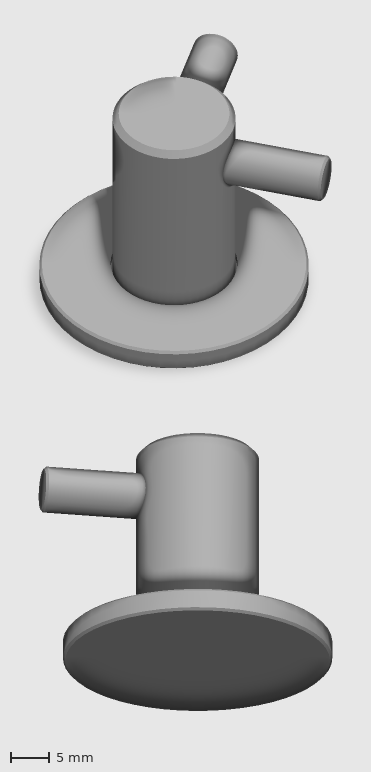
import cadquery as cq
import math

flange_diameter = 35.0
flange_thickness = 3.0
flange_chamfer = 0.3
recess_diameter = 16.5
recess_depth = 1.0

post_diameter = 16.0
post_top = 29.0
post_bottom = flange_thickness - recess_depth
post_chamfer = 0.8

pin_diameter = 6.0
pin_chamfer = 0.3
pin_height = 22.5
pin_inner_reach = 5.0
pin_outer_reach = 20.5
pin_angles = (45, 135)


def make_flange():
    """Disc with chamfered rims and a round recess, slightly wider than the post."""
    disc = cq.Workplane("XY").circle(flange_diameter / 2).extrude(flange_thickness)
    disc = disc.faces("<Z or >Z").edges().chamfer(flange_chamfer)
    recess = (
        cq.Workplane("XY")
        .workplane(offset=post_bottom)
        .circle(recess_diameter / 2)
        .extrude(recess_depth)
    )
    return disc.cut(recess)


def make_pin(angle):
    """Horizontal peg pointing away from the post axis, chamfered at its outer end."""
    angle_rad = math.radians(angle)
    direction = cq.Vector(math.cos(angle_rad), math.sin(angle_rad), 0)
    start = direction * pin_inner_reach + cq.Vector(0, 0, pin_height)
    axis_plane = cq.Plane(origin=start, normal=direction)
    pin = cq.Workplane(axis_plane).circle(pin_diameter / 2).extrude(pin_outer_reach - pin_inner_reach)
    return pin.faces(cq.selectors.DirectionMinMaxSelector(direction)).edges().chamfer(pin_chamfer)


def make_post(seated_pins):
    """Cylinder with a chamfered top and one recess matching each pin."""
    foot = cq.Workplane("XY").workplane(offset=post_bottom)
    post = foot.circle(post_diameter / 2).extrude(post_top - post_bottom)
    post = post.faces(">Z").edges().chamfer(post_chamfer)
    for pin in seated_pins:
        post = post.cut(pin)
    return post


flange = make_flange()
pins = [make_pin(angle) for angle in pin_angles]
post = make_post(pins)

result = cq.Compound.makeCompound([flange.val(), post.val(), *[pin.val() for pin in pins]])